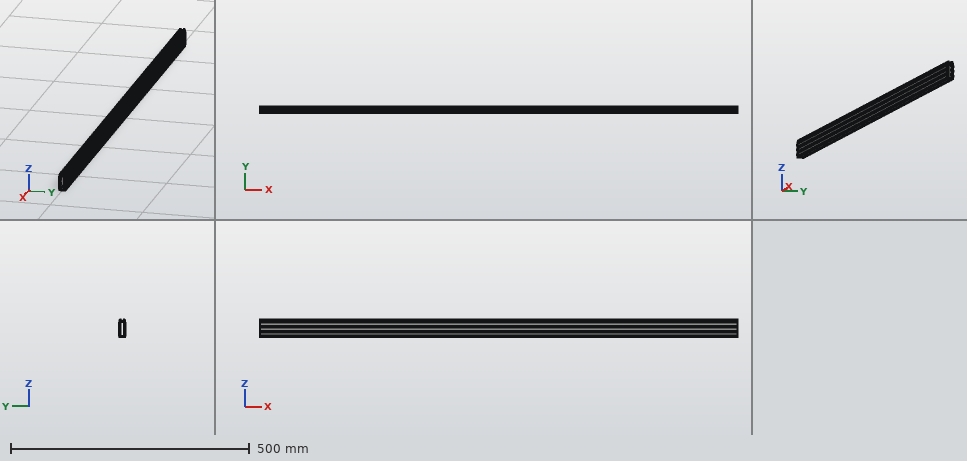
import cadquery as cq
import math

length = 1000.0
height = 36.0

wall_half_width = 6.0
wall_thickness = 2.0
floor_thickness = 2.0

rib_radius = 7.0
rib_pitch = 10.0
first_rib_height = 6.0
rib_count = 3
rib_half_height = math.sqrt(rib_radius**2 - wall_half_width**2)

ridge_offset = wall_half_width - wall_thickness
bevel_size = 1.0
bevel_offset = ridge_offset + bevel_size
bevel_bottom = height - bevel_size
valley_bottom = height - ridge_offset
taper_height = 3.0
wall_top = bevel_bottom - taper_height

roof_thickness = 2.0
ceiling_flat_half_width = 1.0
cavity_half_width = wall_half_width - wall_thickness
ceiling_edge = height - roof_thickness
ceiling_middle = ceiling_edge - (cavity_half_width - ceiling_flat_half_width)


def half_body():
    """The +Y half of the extrusion without its cavity."""
    outline = cq.Workplane("YZ").moveTo(0, 0).lineTo(wall_half_width, 0)
    for index in range(rib_count):
        centre = first_rib_height + index * rib_pitch
        outline = outline.lineTo(wall_half_width, centre - rib_half_height)
        outline = outline.threePointArc((rib_radius, centre), (wall_half_width, centre + rib_half_height))
    outline = (
        outline.lineTo(wall_half_width, wall_top)
        .lineTo(bevel_offset, bevel_bottom)
        .lineTo(ridge_offset, height)
        .lineTo(0, valley_bottom)
        .close()
    )
    return outline.extrude(length / 2, both=True)


def cavity():
    """Closed-section chamber running the full length between floor and roof."""
    outline = (
        cq.Workplane("YZ")
        .moveTo(-cavity_half_width, floor_thickness)
        .lineTo(cavity_half_width, floor_thickness)
        .lineTo(cavity_half_width, ceiling_edge)
        .lineTo(ceiling_flat_half_width, ceiling_middle)
        .lineTo(-ceiling_flat_half_width, ceiling_middle)
        .lineTo(-cavity_half_width, ceiling_edge)
        .close()
    )
    return outline.extrude(length / 2, both=True)


positive_half = half_body()
body = positive_half.union(positive_half.mirror("XZ"))
result = body.cut(cavity()).clean()